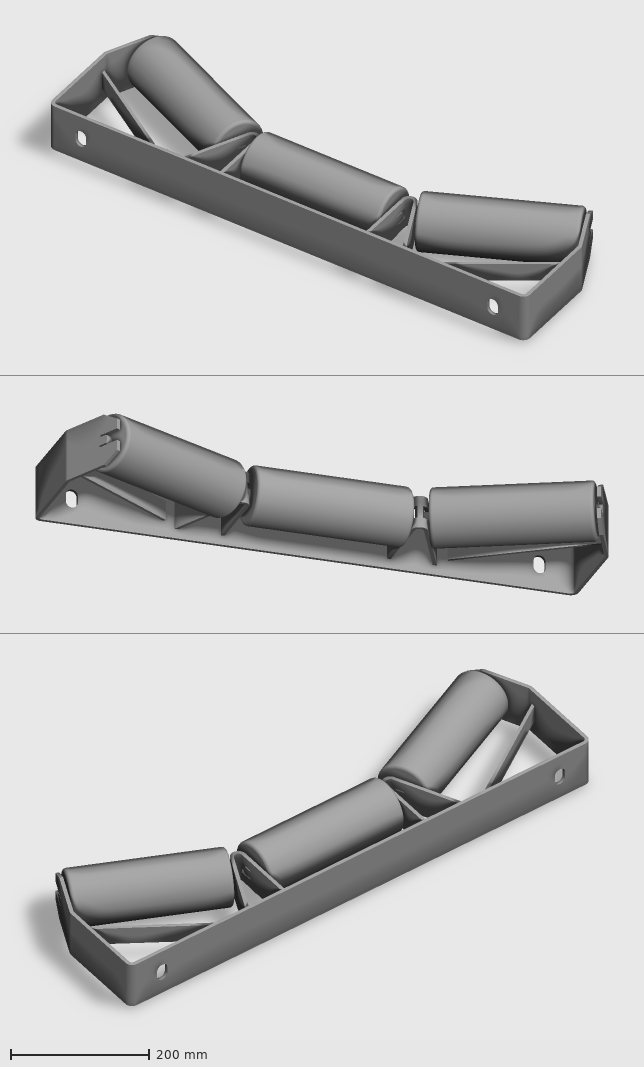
import cadquery as cq
import math

frame_length = 830.0
strip_width = 80.0
plate_thickness = 6.0
bend_radius = 6.0
arm_rise = 31.0
corner_cut_length = 27.0

bracket_width = 50.0
bracket_bend_radius = 7.0

roller_diameter = 89.0
roller_length = 240.0
rim_radius = 5.0
end_gap = 4.0
middle_roller_y = 100.0
wing_roller_x = 266.0
wing_roller_y = 160.0
wing_tilt = 25.0

shaft_diameter = 20.0
shaft_flats = 13.0
shaft_slot_width = 18.0

mount_slot_width = 18.0
mount_slot_length = 28.0
mount_slot_x = 358.0

brace_width = 30.0
brace_thickness = 5.0
brace_tilt = 33.5
brace_foot_x = 218.0

plate_near = roller_length / 2 + end_gap
plate_far = plate_near + plate_thickness

side_outer_x = frame_length / 2
side_inner_x = side_outer_x - plate_thickness
base_top_y = plate_thickness

tilt_cos = math.cos(math.radians(wing_tilt))
tilt_sin = math.sin(math.radians(wing_tilt))


def wing_point(distance, rise):
    """Point at a distance along the wing roller axis and a rise across it."""
    x = wing_roller_x + distance * tilt_cos - rise * tilt_sin
    y = wing_roller_y + distance * tilt_sin + rise * tilt_cos
    return (x, y)


def wing_point_at_x(distance, x):
    """Point at the given X on the line across the wing roller axis."""
    rise = (wing_roller_x + distance * tilt_cos - x) / tilt_sin
    return wing_point(distance, rise)


def wing_point_at_y(distance, y):
    """Point at the given Y on the line across the wing roller axis."""
    rise = (y - wing_roller_y - distance * tilt_sin) / tilt_cos
    return wing_point(distance, rise)


def at_wing(body):
    """Move a body from the origin, with its axis on X, to the +X wing roller."""
    turned = body.rotate((0, 0, 0), (0, 0, 1), wing_tilt)
    return turned.translate((wing_roller_x, wing_roller_y, 0))


def mirrored(body):
    return body.mirror("YZ")


def with_mirror_image(points):
    """Extend a path on the +X side to a path that is symmetric about X = 0."""
    return points + [(-x, y) for x, y in reversed(points)]


def bent_strip(outer, inner, width, inside_radius):
    """Strip between two matching paths, rounded at every bend."""
    strip = cq.Workplane("XY").polyline(outer + inner[::-1]).close().extrude(width / 2, both=True)
    for path, radius in ((outer, inside_radius + plate_thickness), (inner, inside_radius)):
        for x, y in path[1:-1]:
            strip = strip.edges(cq.NearestToPointSelector((x, y, 0))).fillet(radius)
    return strip


def shaft_slot(start_x):
    """Cutter through one plate: a slot open towards +Y with a round bottom around a shaft on X."""
    opening_length = 2 * roller_diameter
    profile = cq.Workplane("YZ", origin=(start_x, 0, 0))
    sides = profile.rect(opening_length, shaft_slot_width).extrude(plate_thickness)
    bottom = profile.circle(shaft_diameter / 2).extrude(plate_thickness).intersect(sides)
    opening = profile.center(opening_length / 2, 0).rect(opening_length, shaft_slot_width)
    return opening.extrude(plate_thickness).union(bottom)


def arm_corner_cuts():
    """Cutters that taper the arm tip to the width of the brackets."""
    edge_z = strip_width / 2
    corner = [
        (arm_rise, edge_z),
        (arm_rise - corner_cut_length, edge_z),
        (arm_rise, bracket_width / 2),
    ]
    cut = cq.Workplane("YZ", origin=(plate_near, 0, 0)).polyline(corner).close().extrude(plate_thickness)
    return cut.union(cut.mirror("XY"))


def make_frame():
    outer = [
        wing_point(plate_far, arm_rise),
        wing_point_at_x(plate_far, side_outer_x),
        (side_outer_x, 0),
    ]
    inner = [
        wing_point(plate_near, arm_rise),
        wing_point_at_x(plate_near, side_inner_x),
        (side_inner_x, base_top_y),
    ]
    strip = bent_strip(with_mirror_image(outer), with_mirror_image(inner), strip_width, bend_radius)

    for cut in (at_wing(arm_corner_cuts()), at_wing(shaft_slot(plate_near))):
        strip = strip.cut(cut).cut(mirrored(cut))

    mount_slots = (
        cq.Workplane("XZ")
        .pushPoints([(-mount_slot_x, 0), (mount_slot_x, 0)])
        .slot2D(mount_slot_length, mount_slot_width, 90)
        .extrude(-plate_thickness)
    )
    return strip.cut(mount_slots)


def make_bracket():
    """Bracket on the +X side: an upright leg, a bend and a leg square to the wing roller."""
    outer = [
        (plate_near, base_top_y),
        wing_point_at_x(-plate_near, plate_near),
        wing_point_at_y(-plate_near, base_top_y),
    ]
    inner = [
        (plate_far, base_top_y),
        wing_point_at_x(-plate_far, plate_far),
        wing_point_at_y(-plate_far, base_top_y),
    ]
    strip = bent_strip(outer, inner, bracket_width, bracket_bend_radius)
    middle_slot = shaft_slot(plate_near).translate((0, middle_roller_y, 0))
    wing_slot = at_wing(shaft_slot(-plate_far))
    return strip.cut(middle_slot).cut(wing_slot)


def make_brace():
    """Brace on the +X side: a flat bar with a square foot, cut off flush with the frame side."""
    bar_length = frame_length / 2
    bar = cq.Workplane("XY").box(bar_length, brace_thickness, brace_width, centered=(False, False, True))
    bar = bar.rotate((0, 0, 0), (0, 0, 1), brace_tilt).translate((brace_foot_x, base_top_y, 0))
    inside = cq.Workplane("XY").box(2 * side_inner_x, frame_length, strip_width)
    return bar.intersect(inside)


def make_roller():
    """Roller at the origin with its axis on X; the shaft ends flush with the plates."""
    shell = cq.Workplane("YZ", origin=(-roller_length / 2, 0, 0)).circle(roller_diameter / 2)
    shell = shell.extrude(roller_length).faces("<X or >X").edges().fillet(rim_radius)
    neck = cq.Workplane("YZ").circle(shaft_diameter / 2).extrude(plate_near, both=True)
    ends = cq.Workplane("YZ").circle(shaft_diameter / 2).extrude(plate_far, both=True)
    flats = cq.Workplane("XY").box(2 * plate_far, shaft_diameter, shaft_flats)
    return shell.union(neck).union(ends.intersect(flats))


frame = make_frame()
bracket = make_bracket()
brace = make_brace()
middle_roller = make_roller().translate((0, middle_roller_y, 0))
wing_roller = at_wing(make_roller())

bodies = frame.solids().vals() + middle_roller.solids().vals()
for side_body in (bracket, brace, wing_roller):
    for body in (side_body, mirrored(side_body)):
        bodies.append(body.solids().val())

result = cq.Compound.makeCompound(bodies)